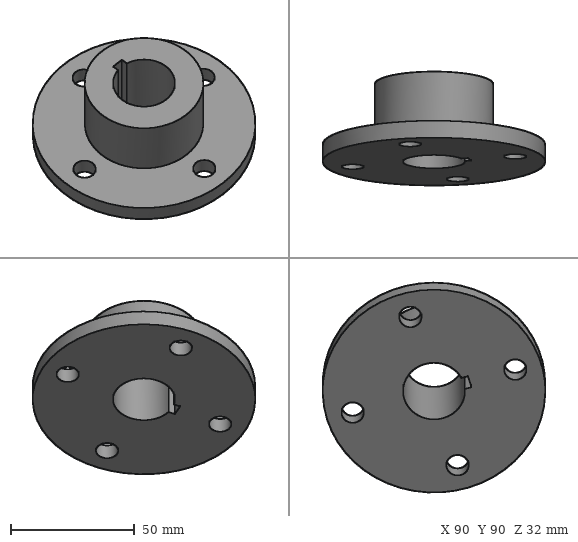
import cadquery as cq

flange_diameter = 90.0
flange_thickness = 7.0

hub_diameter = 48.0
total_height = 32.0

bore_diameter = 25.0
keyway_width = 5.0
keyway_reach = 15.0

bolt_hole_diameter = 9.0
bolt_circle_diameter = 68.4
bolt_hole_count = 4


def make_body():
    """Round flange with a concentric hub standing on it."""
    flange = cq.Workplane("XY").circle(flange_diameter / 2).extrude(flange_thickness)
    hub = cq.Workplane("XY").circle(hub_diameter / 2).extrude(total_height)
    return flange.union(hub)


def make_keyed_bore():
    """Cutter for the through bore and its full-length keyway."""
    bore = cq.Workplane("XY").circle(bore_diameter / 2).extrude(total_height)
    keyway = (
        cq.Workplane("XY")
        .center(-keyway_reach / 2, 0)
        .rect(keyway_reach, keyway_width)
        .extrude(total_height)
    )
    return bore.union(keyway)


def make_bolt_holes():
    """Cutter for the through holes, evenly spaced from the +X axis."""
    return (
        cq.Workplane("XY")
        .polarArray(bolt_circle_diameter / 2, 0, 360, bolt_hole_count)
        .circle(bolt_hole_diameter / 2)
        .extrude(flange_thickness)
    )


result = make_body().cut(make_keyed_bore()).cut(make_bolt_holes())